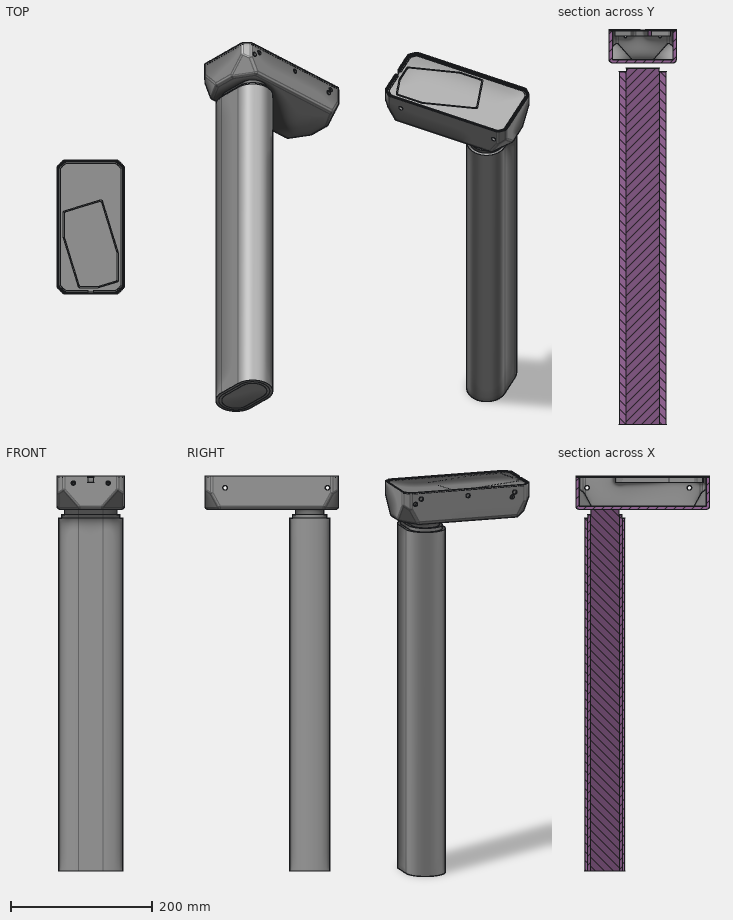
import cadquery as cq
import math

total_height = 560.0

housing_x = 96.0
housing_y = 190.0
housing_height = 47.5
corner_cut = 9.5
edge_radius = 5.0
wall = 5.0
housing_bottom = total_height - housing_height

slope_along_x = 6.2
slope_along_y = 3.8
slope_height = 7.0

rim_wall = 1.5
lid_gap = 1.4
lid_drop = 0.85
lid_thickness = 1.3
lid_top = total_height - lid_drop
ledge_z = lid_top - lid_thickness

frame_width = 68.5
frame_length = 118.0
frame_turn = 17
frame_centre_x = 0.5
frame_centre_y = -27.5
frame_half_x = 39.0
frame_front_y = -86.0
frame_corner_radius = 3.0
frame_wall = 1.5
frame_height = 7.5

notch_width = 8.5
notch_depth = 9.0
small_hole_diameter = 6.0
small_hole_drop = 10.0
shank_hole_diameter = 3.5
side_hole_depth = 3.0
side_hole_pitch = 70.0
front_hole_x = 24.5
cross_hole_diameter = 6.0
cross_hole_drop = 17.0
cross_hole_back_y = 79.0
cross_hole_front_y = -66.0

column_y = 54.0
straight_length = 34.0
outer_width = 57.0
middle_width = 49.0
inner_width = 40.5
outer_top = 500.0
middle_top = 505.0


def outline_prism(inset, bottom, top):
    """Prism over the housing outline moved inwards by inset, with sharp corners."""
    cut = corner_cut - inset * (2 - math.sqrt(2))
    return (
        cq.Workplane("XY", origin=(0, 0, bottom))
        .rect(housing_x - 2 * inset, housing_y - 2 * inset)
        .extrude(top - bottom)
        .edges("|Z")
        .chamfer(cut)
    )


def rounded_prism(inset, bottom, top):
    """The same prism with its upright edges rounded."""
    return outline_prism(inset, bottom, top).edges("|Z").fillet(edge_radius)


def corner_wedge(side_x, side_y, growth):
    """Tetrahedron at a lower corner of the housing, enlarged from that corner by growth."""
    x = side_x * housing_x / 2
    y = side_y * housing_y / 2
    corner = cq.Vector(x, y, housing_bottom)
    along_x = corner - cq.Vector(side_x * slope_along_x * growth, 0, 0)
    along_y = corner - cq.Vector(0, side_y * slope_along_y * growth, 0)
    apex = corner + cq.Vector(0, 0, slope_height * growth)
    triangles = (
        (apex, along_x, along_y),
        (apex, along_x, corner),
        (apex, along_y, corner),
        (along_x, along_y, corner),
    )
    faces = [cq.Face.makeFromWires(cq.Wire.makePolygon(points, close=True)) for points in triangles]
    return cq.Workplane(cq.Solid.makeSolid(cq.Shell.makeShell(faces)))


def slope_corners(body, growth):
    for side_x in (-1, 1):
        for side_y in (-1, 1):
            body = body.cut(corner_wedge(side_x, side_y, growth))
    return body


def housing_block():
    block = slope_corners(outline_prism(0, housing_bottom, total_height), 5.5)
    return block.edges("not >Z").fillet(edge_radius)


def housing_cavity():
    """Inside of the housing; its sloped corners keep the wall thickness."""
    intercepts = (slope_along_x, slope_along_y, slope_height)
    growth = 5.5 + wall * math.sqrt(sum(1 / length**2 for length in intercepts))
    return slope_corners(rounded_prism(wall, housing_bottom + wall, ledge_z), growth)


def lid_recess():
    return rounded_prism(rim_wall, ledge_z, total_height)


def cable_notch():
    """Open-topped slot through the middle of the front wall."""
    return (
        cq.Workplane("XY", origin=(0, (wall - housing_y) / 2, total_height - notch_depth))
        .rect(notch_width, wall)
        .extrude(notch_depth)
    )


def front_holes():
    """Holes through the front wall, each with a 45 degree countersink."""
    head_radius = small_hole_diameter / 2
    shank_radius = shank_hole_diameter / 2
    countersink_depth = head_radius - shank_radius
    inward = cq.Vector(0, 1, 0)
    holes = cq.Workplane("XY")
    for x in (-front_hole_x, front_hole_x):
        mouth = cq.Vector(x, -housing_y / 2, total_height - small_hole_drop)
        countersink = cq.Solid.makeCone(head_radius, shank_radius, countersink_depth, mouth, inward)
        shank = cq.Solid.makeCylinder(shank_radius, wall, mouth, inward)
        holes = holes.add(countersink.fuse(shank))
    return holes.combine()


def side_holes():
    return (
        cq.Workplane("YZ", origin=(-housing_x / 2, 0, total_height - small_hole_drop))
        .pushPoints([(step * side_hole_pitch, 0) for step in (-1, 0, 1)])
        .circle(small_hole_diameter / 2)
        .extrude(side_hole_depth)
    )


def cross_holes():
    """Holes that run through both long walls."""
    return (
        cq.Workplane("YZ", origin=(0, 0, total_height - cross_hole_drop))
        .pushPoints([(cross_hole_front_y, 0), (cross_hole_back_y, 0)])
        .circle(cross_hole_diameter / 2)
        .extrude(housing_x / 2, both=True)
    )


def make_housing():
    openings = (
        housing_cavity(),
        lid_recess(),
        cable_notch(),
        front_holes(),
        side_holes(),
        cross_holes(),
    )
    housing = housing_block()
    for opening in openings:
        housing = housing.cut(opening)
    return housing


def make_lid():
    return rounded_prism(rim_wall + lid_gap, ledge_z, lid_top)


def frame_prism(inset):
    """Turned rectangle clipped at both sides and at the front, all moved inwards by inset."""
    bottom = ledge_z - frame_height
    turned = (
        cq.Workplane("XY", origin=(frame_centre_x, frame_centre_y, bottom))
        .transformed(rotate=(0, 0, frame_turn))
        .rect(frame_width - 2 * inset, frame_length - 2 * inset)
        .extrude(frame_height)
    )
    front = frame_front_y + inset
    back = housing_y / 2
    limit = (
        cq.Workplane("XY", origin=(0, (front + back) / 2, bottom))
        .rect(2 * (frame_half_x - inset), back - front)
        .extrude(frame_height)
    )
    return turned.intersect(limit).edges("|Z").fillet(frame_corner_radius)


def make_frame():
    return frame_prism(0).cut(frame_prism(frame_wall))


def stage(width, bottom, top):
    return (
        cq.Workplane("XY", origin=(0, column_y, bottom))
        .slot2D(straight_length + width, width)
        .extrude(top - bottom)
    )


def make_outer_stage():
    return stage(outer_width, 0, outer_top).cut(stage(middle_width, 0, outer_top))


def make_middle_stage():
    return stage(middle_width, 0, middle_top).cut(stage(inner_width, 0, middle_top))


def make_inner_stage():
    return stage(inner_width, 0, housing_bottom)


housing = make_housing()
lid = make_lid()
frame = make_frame()
outer_stage = make_outer_stage()
middle_stage = make_middle_stage()
inner_stage = make_inner_stage()

result = cq.Compound.makeCompound(
    [
        housing.val(),
        lid.val(),
        frame.val(),
        outer_stage.val(),
        middle_stage.val(),
        inner_stage.val(),
    ]
)